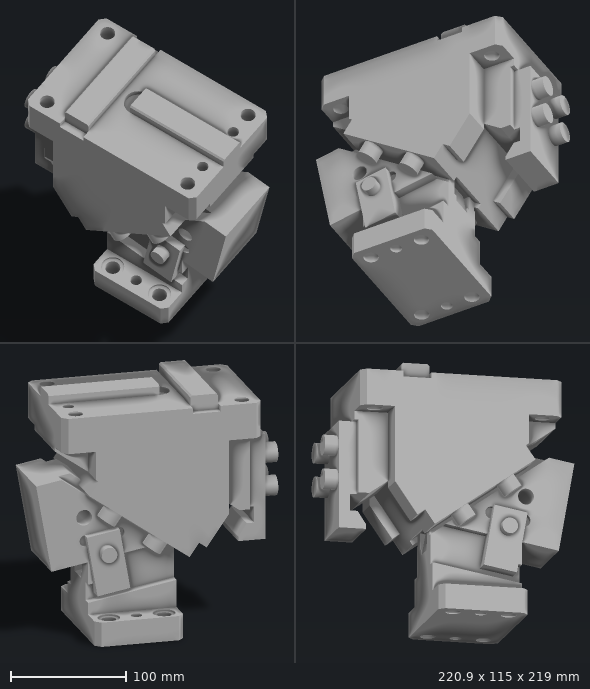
import cadquery as cq
import math


WIDTH = 115.0
WEB_WIDTH = 65.0
CORNER_CHAMFER = 5.0
MOUNT_HOLE_DIAMETER = 13.2
MOUNT_HOLE_Y = 45.0
DOWEL_DIAMETER = 10.2
BOLT_HEAD_DIAMETER = 18.0
BOLT_HEAD_HEIGHT = 12.0
OVERRUN = 11.0

BED_TILT = math.radians(10)
BED_Z = 84.0

INCLINE_TILT = math.radians(35)
INCLINE_X = -4.5
INCLINE_Z = 74.9
INCLINE_LENGTH = 110.0
SHOULDER_RISE = -3.3
TONGUE_RISE = 4.5
TONGUE_WIDTH = 43.3

BASE_LENGTH = 80.0
BASE_FLANGE_HEIGHT = 22.0
NECK_WIDTH = 47.5
LEDGE_DEPTH = 36.5
LUG_DEPTH = 20.0
BASE_HOLE_PITCH = 50.0
COUNTERBORE_DIAMETER = 20.0
COUNTERBORE_DEPTH = 1.5
KEYWAY_DEPTH = 20.5
RELIEF_WIDTH = 26.0
RELIEF_DEPTH = 15.2

SLIDER_END = 114.5
SLIDER_HEIGHT = 80.0
CROSS_HOLE_DIAMETER = 14.1
CROSS_HOLE_ALONG = 77.5
CROSS_HOLE_ABOVE = 40.8
KEY_WIDTH = 19.7
KEY_START = 4.5
KEY_STEP = 65.0
KEY_END = 85.0
KEY_END_DEPTH = 9.5
CLIP_START = 50.0
CLIP_LENGTH = 30.0
CLIP_THICKNESS = 7.5
CLIP_TOP = 25.0
CLIP_BOTTOM = -30.0
CLIP_FOOT_INSET = 24.7
CLIP_SCREW_DIAMETER = 14.0
CLIP_SCREW_HEIGHT = 9.0
CLIP_SCREW_ABOVE = 7.3
RECESS_DIAMETER = 10.8
RECESS_DEPTH = 4.5

HOLDER_LEFT = -70.0
HOLDER_LENGTH = 180.0
HOLDER_RIGHT = HOLDER_LEFT + HOLDER_LENGTH
HOLDER_TOP = 210.0
HOLDER_FLANGE_BOTTOM = HOLDER_TOP - 32.0
BODY_LEFT = -40.0
BODY_RIGHT = BASE_LENGTH
BODY_CORNER_Z = 110.8
END_RECESS = 15.0
RIB_NOTCH = 55.0
HOLE_INSET = 15.0
DOWEL_Y = 22.7
INCLINE_BOLT_PLACES = [30.0, 80.0]
INCLINE_BOLT_Y = 47.0

SEAT_X = -66.2
PLATE_WIDTH = 50.3
PLATE_THICKNESS = 16.0
PLATE_TOP = 170.2
PLATE_LEFT = SEAT_X - PLATE_THICKNESS
HOOK_TOP = 105.3
HOOK_SLOT_BOTTOM = 90.5
HOOK_SLOT_X = -72.0
HOOK_BEND_X = -65.4
HOOK_TIP_X = -57.6
HOOK_TIP_Z = 78.8
PLATE_BOLT_Y = 15.0
PLATE_BOLT_HEIGHTS = [120.0, 150.1]

BAR_WIDTH = 25.0
BAR_TOP = 219.0
BAR_SLOT_DEPTH = 5.0
BAR_CHAMFER = 1.5
CROSS_BAR_X = -19.9
CROSS_BAR_LENGTH = 100.0
LONG_BAR_LEFT = 10.0

BED_PLANE = cq.Plane(
    origin=(0, 0, BED_Z),
    xDir=(math.cos(BED_TILT), 0, -math.sin(BED_TILT)),
    normal=(0, -1, 0),
)
INCLINE_PLANE = cq.Plane(
    origin=(INCLINE_X, 0, INCLINE_Z),
    xDir=(math.cos(INCLINE_TILT), 0, math.sin(INCLINE_TILT)),
    normal=(0, -1, 0),
)


def bed_point(along, above):
    """X and Z of a point given along and above the bed."""
    point = BED_PLANE.toWorldCoords((along, above))
    return (point.x, point.z)


def incline_point(along, above):
    """X and Z of a point given along and above the incline."""
    point = INCLINE_PLANE.toWorldCoords((along, above))
    return (point.x, point.z)


def on_bed(x, above=0.0):
    """Point at x on the plane lying the given distance above the bed."""
    return (x, BED_Z - x * math.tan(BED_TILT) + above / math.cos(BED_TILT))


def on_incline(x, above=0.0):
    """Point at x on the plane lying the given distance above the incline."""
    return (x, INCLINE_Z + (x - INCLINE_X) * math.tan(INCLINE_TILT) + above / math.cos(INCLINE_TILT))


def crossing(above_bed, above_incline):
    """Point where a plane parallel to the bed meets one parallel to the incline."""
    height_gap = on_bed(0, above_bed)[1] - on_incline(0, above_incline)[1]
    return on_bed(height_gap / (math.tan(INCLINE_TILT) + math.tan(BED_TILT)), above_bed)


def prism(outline, width):
    """XZ outline extruded evenly to both sides of the middle plane."""
    return cq.Workplane("XZ").polyline(outline).close().extrude(width / 2, both=True)


def tilted_block(plane, start, end, bottom, top, width, centre_y=0.0):
    """Block given along and above a tilted plane."""
    centre = ((start + end) / 2, (bottom + top) / 2)
    block = cq.Workplane(plane).center(*centre).box(end - start, top - bottom, width)
    return block.translate((0, centre_y, 0))


def upright_block(left, right, bottom, top, width):
    return cq.Workplane("XY").box(right - left, width, top - bottom).translate(
        ((left + right) / 2, 0, (bottom + top) / 2)
    )


def flange(left, right, bottom, top):
    return upright_block(left, right, bottom, top, WIDTH).edges("|Z").chamfer(CORNER_CHAMFER)


def vertical_holes(places, diameter, bottom, top):
    return (
        cq.Workplane("XY", origin=(0, 0, bottom))
        .pushPoints(places)
        .circle(diameter / 2)
        .extrude(top - bottom)
    )


def base_neck(width, rise):
    """Upper part of the base under the bed, topped on the left by a face parallel to the incline."""
    return prism(
        [
            (0, 0),
            (BASE_LENGTH, 0),
            on_bed(BASE_LENGTH),
            crossing(0, rise),
            on_incline(0, rise),
        ],
        width,
    )


def base_web():
    return prism(
        [(0, 0), (BASE_LENGTH, 0), on_bed(BASE_LENGTH, -LEDGE_DEPTH), on_bed(0, -LEDGE_DEPTH)],
        WEB_WIDTH,
    )


def base_lugs():
    """Overhang on both sides of the neck that holds the slider clips down."""
    return prism(
        [
            bed_point(CLIP_START, -LUG_DEPTH),
            on_bed(BASE_LENGTH, -LUG_DEPTH),
            on_bed(BASE_LENGTH),
            bed_point(CLIP_START, 0),
        ],
        WEB_WIDTH,
    )


def bed_groove(width, depth):
    return tilted_block(BED_PLANE, -OVERRUN, BASE_LENGTH + OVERRUN, -depth, OVERRUN, width)


def make_base():
    base = flange(0, BASE_LENGTH, 0, BASE_FLANGE_HEIGHT)
    base = base.union(base_web())
    base = base.union(base_neck(NECK_WIDTH, SHOULDER_RISE))
    base = base.union(base_neck(TONGUE_WIDTH, TONGUE_RISE))
    base = base.union(base_lugs())
    base = base.cut(bed_groove(KEY_WIDTH, KEYWAY_DEPTH))
    base = base.cut(bed_groove(RELIEF_WIDTH, RELIEF_DEPTH))
    middle = BASE_LENGTH / 2
    sides = (-MOUNT_HOLE_Y, MOUNT_HOLE_Y)
    bolts = [(middle + end * BASE_HOLE_PITCH / 2, y) for end in (-1, 1) for y in sides]
    dowels = [(middle, y) for y in sides]
    counterbore_floor = BASE_FLANGE_HEIGHT - COUNTERBORE_DEPTH
    base = base.cut(vertical_holes(bolts, MOUNT_HOLE_DIAMETER, 0, BASE_FLANGE_HEIGHT))
    base = base.cut(vertical_holes(bolts, COUNTERBORE_DIAMETER, counterbore_floor, BASE_FLANGE_HEIGHT))
    return base.cut(vertical_holes(dowels, DOWEL_DIAMETER, 0, BASE_FLANGE_HEIGHT))


def slider_block(width, rise):
    """Wedge between the bed and a face parallel to the incline."""
    return prism(
        [
            crossing(0, rise),
            bed_point(SLIDER_END, 0),
            bed_point(SLIDER_END, SLIDER_HEIGHT),
            crossing(SLIDER_HEIGHT, rise),
        ],
        width,
    )


def cross_cylinder(along, above, diameter, start_y, end_y):
    """Cylinder parallel to Y, placed along and above the bed."""
    x, z = bed_point(along, above)
    return (
        cq.Workplane("XZ", origin=(0, start_y, 0))
        .center(x, z)
        .circle(diameter / 2)
        .extrude(start_y - end_y)
    )


def clip(side):
    """L-shaped clip with its screw; side is -1 or 1, the sign of its Y."""
    slider_face = WEB_WIDTH / 2
    outer_face = slider_face + CLIP_THICKNESS
    clip_end = CLIP_START + CLIP_LENGTH
    slab_y = side * (slider_face + outer_face) / 2
    slab = tilted_block(
        BED_PLANE, CLIP_START, clip_end, CLIP_BOTTOM, CLIP_TOP, CLIP_THICKNESS, slab_y
    )
    foot_width = slider_face - CLIP_FOOT_INSET
    foot_y = side * (slider_face + CLIP_FOOT_INSET) / 2
    foot = tilted_block(
        BED_PLANE, CLIP_START, clip_end, CLIP_BOTTOM, -LUG_DEPTH, foot_width, foot_y
    )
    screw = cross_cylinder(
        CLIP_START + CLIP_LENGTH / 2,
        CLIP_SCREW_ABOVE,
        CLIP_SCREW_DIAMETER,
        side * outer_face,
        side * (outer_face + CLIP_SCREW_HEIGHT),
    )
    return slab.union(foot).union(screw)


def clip_recesses(side):
    """Round recesses in the slider side at the upper corners of a clip."""
    slider_face = WEB_WIDTH / 2
    above = CLIP_TOP - RECESS_DIAMETER / 2
    left, right = [
        cross_cylinder(
            along, above, RECESS_DIAMETER, side * slider_face, side * (slider_face - RECESS_DEPTH)
        )
        for along in (CLIP_START, CLIP_START + CLIP_LENGTH)
    ]
    return left.union(right)


def slider_key():
    """Key under the slider, shallower at its right end."""
    deep_part = tilted_block(BED_PLANE, KEY_START, KEY_STEP, -KEYWAY_DEPTH, 0, KEY_WIDTH)
    shallow_part = tilted_block(BED_PLANE, KEY_STEP, KEY_END, -KEY_END_DEPTH, 0, KEY_WIDTH)
    return deep_part.union(shallow_part)


def make_slider():
    slider = slider_block(WEB_WIDTH, SHOULDER_RISE).union(slider_block(TONGUE_WIDTH, TONGUE_RISE))
    slider = slider.union(slider_key())
    slider = slider.cut(
        cross_cylinder(CROSS_HOLE_ALONG, CROSS_HOLE_ABOVE, CROSS_HOLE_DIAMETER, WIDTH, -WIDTH)
    )
    for side in (-1, 1):
        slider = slider.cut(clip_recesses(side)).union(clip(side))
    return slider


def holder_rib():
    """Narrow middle part, which carries the stop plate on the left and overhangs on the right."""
    rib_low_along = (HOOK_TOP - incline_point(0, RIB_NOTCH)[1]) / math.sin(INCLINE_TILT)
    return prism(
        [
            (HOLDER_LEFT, HOLDER_FLANGE_BOTTOM),
            (HOLDER_RIGHT, HOLDER_FLANGE_BOTTOM),
            on_incline(HOLDER_RIGHT, END_RECESS),
            incline_point(INCLINE_LENGTH, END_RECESS),
            incline_point(INCLINE_LENGTH, 0),
            incline_point(0, 0),
            incline_point(0, RIB_NOTCH),
            incline_point(rib_low_along, RIB_NOTCH),
            (SEAT_X, HOOK_TOP),
            (SEAT_X, PLATE_TOP),
            (HOLDER_LEFT, PLATE_TOP),
        ],
        WEB_WIDTH,
    )


def holder_cheeks():
    """Full-width outer parts of the body, on both sides of the rib."""
    corner = INCLINE_PLANE.toLocalCoords(cq.Vector(BODY_LEFT, 0, BODY_CORNER_Z))
    cheeks = prism(
        [
            (BODY_LEFT, HOLDER_FLANGE_BOTTOM),
            (BODY_RIGHT, HOLDER_FLANGE_BOTTOM),
            on_incline(BODY_RIGHT, END_RECESS),
            incline_point(INCLINE_LENGTH, END_RECESS),
            incline_point(INCLINE_LENGTH, 0),
            incline_point(0, 0),
            incline_point(0, END_RECESS),
            incline_point(corner.x, END_RECESS),
            (BODY_LEFT, BODY_CORNER_Z),
        ],
        WIDTH,
    )
    rib_space = upright_block(HOLDER_LEFT, HOLDER_RIGHT, 0, HOLDER_FLANGE_BOTTOM, WEB_WIDTH)
    return cheeks.cut(rib_space)


def stop_plate():
    plate = prism(
        [
            (PLATE_LEFT, PLATE_TOP),
            (SEAT_X, PLATE_TOP),
            (SEAT_X, HOOK_TOP),
            (HOOK_SLOT_X, HOOK_TOP),
            (HOOK_SLOT_X, HOOK_SLOT_BOTTOM),
            (HOOK_BEND_X, HOOK_SLOT_BOTTOM),
            (HOOK_TIP_X, HOOK_TIP_Z),
            (HOOK_TIP_X, INCLINE_Z),
            (PLATE_LEFT, INCLINE_Z),
        ],
        PLATE_WIDTH,
    )
    bolts = (
        cq.Workplane("YZ", origin=(PLATE_LEFT, 0, 0))
        .pushPoints([(y, z) for y in (-PLATE_BOLT_Y, PLATE_BOLT_Y) for z in PLATE_BOLT_HEIGHTS])
        .circle(BOLT_HEAD_DIAMETER / 2)
        .extrude(-BOLT_HEAD_HEIGHT)
    )
    return plate.union(bolts)


def incline_bolts():
    """Bolt heads hanging below the cheeks, square to the incline."""
    underside = cq.Plane(
        origin=(INCLINE_X, 0, INCLINE_Z),
        xDir=INCLINE_PLANE.xDir,
        normal=-INCLINE_PLANE.yDir,
    )
    return (
        cq.Workplane(underside)
        .pushPoints([(s, y) for s in INCLINE_BOLT_PLACES for y in (-INCLINE_BOLT_Y, INCLINE_BOLT_Y)])
        .circle(BOLT_HEAD_DIAMETER / 2)
        .extrude(BOLT_HEAD_HEIGHT)
    )


def holder_holes():
    ends = (HOLDER_LEFT + HOLE_INSET, HOLDER_RIGHT - HOLE_INSET)
    mounts = [(x, y) for x in ends for y in (-MOUNT_HOLE_Y, MOUNT_HOLE_Y)]
    dowels = [(ends[1], y) for y in (-DOWEL_Y, DOWEL_Y)]
    bottom = INCLINE_Z
    return vertical_holes(mounts, MOUNT_HOLE_DIAMETER, bottom, HOLDER_TOP).union(
        vertical_holes(dowels, DOWEL_DIAMETER, bottom, HOLDER_TOP)
    )


def bar_slots():
    floor = HOLDER_TOP - BAR_SLOT_DEPTH
    half = BAR_WIDTH / 2
    cross_slot = upright_block(CROSS_BAR_X - half, CROSS_BAR_X + half, floor, HOLDER_TOP, WIDTH)
    long_slot = upright_block(LONG_BAR_LEFT, HOLDER_RIGHT, floor, HOLDER_TOP, BAR_WIDTH)
    round_end = vertical_holes([(LONG_BAR_LEFT, 0)], BAR_WIDTH, floor, HOLDER_TOP)
    return cross_slot.union(long_slot).union(round_end)


def locating_bars():
    floor = HOLDER_TOP - BAR_SLOT_DEPTH
    half = BAR_WIDTH / 2
    cross_bar = upright_block(CROSS_BAR_X - half, CROSS_BAR_X + half, floor, BAR_TOP, CROSS_BAR_LENGTH)
    cross_bar = cross_bar.edges("|Y and >Z").chamfer(BAR_CHAMFER)
    long_bar = upright_block(LONG_BAR_LEFT, HOLDER_RIGHT, floor, BAR_TOP, BAR_WIDTH)
    long_bar = long_bar.edges("|X and >Z").chamfer(BAR_CHAMFER)
    return cross_bar.union(long_bar)


def make_holder():
    holder = flange(HOLDER_LEFT, HOLDER_RIGHT, HOLDER_FLANGE_BOTTOM, HOLDER_TOP)
    holder = holder.union(holder_rib()).union(holder_cheeks())
    tongue_groove = tilted_block(
        INCLINE_PLANE, -OVERRUN, INCLINE_LENGTH + OVERRUN, -OVERRUN, TONGUE_RISE, TONGUE_WIDTH
    )
    holder = holder.cut(tongue_groove).cut(holder_holes()).cut(bar_slots())
    return holder.union(locating_bars()).union(stop_plate()).union(incline_bolts())


base = make_base()
slider = make_slider()
holder = make_holder()

result = cq.Compound.makeCompound([base.val(), slider.val(), holder.val()])